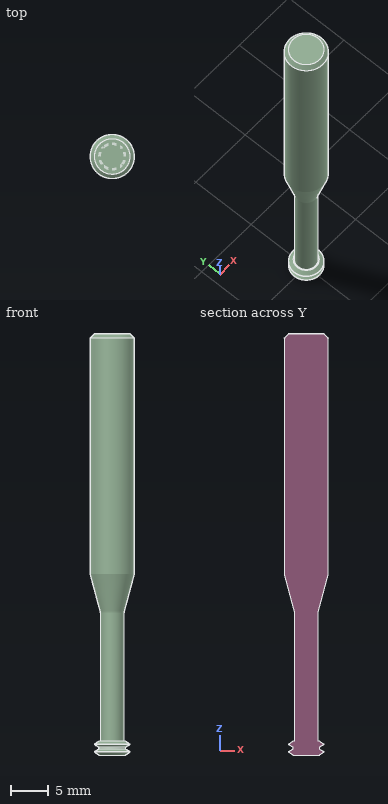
import cadquery as cq
import math


overall_length = 57.0
shank_radius = 6.0 / 2
shank_chamfer = 0.6
neck_radius = 3.23 / 2
taper_top_z = 24.5
taper_half_angle = math.radians(15)
neck_blend_radius = 1.0

tooth_radius = 4.81 / 2
groove_radius = 3.65 / 2
thread_pitch = 1.0
crest_half_width = 0.08 / 2
flank_angle = math.radians(30)
end_radius = 1.76
end_flank_length = 0.455

groove_flank_length = (tooth_radius - groove_radius) * math.tan(flank_angle)

lower_tooth_z = end_flank_length + crest_half_width
upper_tooth_z = lower_tooth_z + thread_pitch
neck_bottom_z = upper_tooth_z + crest_half_width + end_flank_length

taper_length = (shank_radius - neck_radius) / math.tan(taper_half_angle)
taper_corner_z = taper_top_z - taper_length
blend_start_z = taper_corner_z - neck_blend_radius * math.tan(taper_half_angle / 2)


def blend_point(angle):
    """Radius and height on the blend arc after turning by the angle from the neck."""
    radius = neck_radius + neck_blend_radius * (1 - math.cos(angle))
    height = blend_start_z + neck_blend_radius * math.sin(angle)
    return radius, height


def make_mill():
    """Revolve the half profile, from the tip face up to the shank end, around Z."""
    profile = (
        cq.Workplane("XZ")
        .moveTo(0, 0)
        .lineTo(end_radius, 0)
        .lineTo(tooth_radius, lower_tooth_z - crest_half_width)
        .lineTo(tooth_radius, lower_tooth_z + crest_half_width)
        .lineTo(groove_radius, lower_tooth_z + crest_half_width + groove_flank_length)
        .lineTo(groove_radius, upper_tooth_z - crest_half_width - groove_flank_length)
        .lineTo(tooth_radius, upper_tooth_z - crest_half_width)
        .lineTo(tooth_radius, upper_tooth_z + crest_half_width)
        .lineTo(end_radius, neck_bottom_z)
        .lineTo(neck_radius, neck_bottom_z)
        .lineTo(neck_radius, blend_start_z)
        .threePointArc(blend_point(taper_half_angle / 2), blend_point(taper_half_angle))
        .lineTo(shank_radius, taper_top_z)
        .lineTo(shank_radius, overall_length - shank_chamfer)
        .lineTo(shank_radius - shank_chamfer, overall_length)
        .lineTo(0, overall_length)
        .close()
    )
    return profile.revolve(360, (0, 0, 0), (0, 1, 0))


result = make_mill()